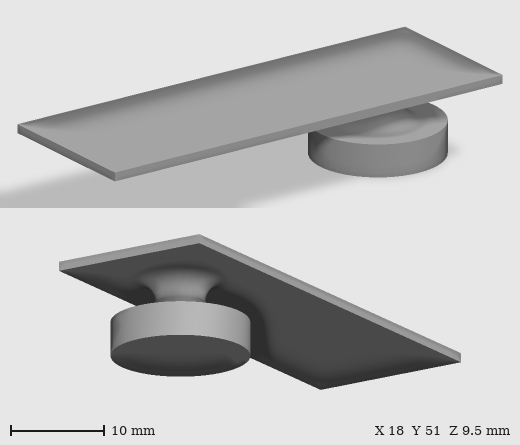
import cadquery as cq

plate_width = 18.0
plate_length = 51.0
plate_thickness = 1.0
total_height = 9.5
disc_diameter = 15.0
disc_height = 3.75
waist_diameter = 5.4
knob_to_plate_end = 10.0

plate_bottom = total_height - plate_thickness
groove_radius = (plate_bottom - disc_height) / 2
waist_radius = waist_diameter / 2
flare_radius = waist_radius + groove_radius
disc_radius = disc_diameter / 2
waist_height = disc_height + groove_radius
knob_y = plate_length / 2 - knob_to_plate_end


def make_plate():
    """Flat rectangular plate on top of the knob."""
    return (
        cq.Workplane("XY")
        .workplane(offset=plate_bottom)
        .rect(plate_width, plate_length)
        .extrude(plate_thickness)
    )


def make_knob():
    """Round foot disc with a concave neck, revolved about its vertical axis."""
    profile = (
        cq.Workplane("XZ")
        .lineTo(disc_radius, 0)
        .lineTo(disc_radius, disc_height)
        .lineTo(flare_radius, disc_height)
        .radiusArc((waist_radius, waist_height), groove_radius)
        .radiusArc((flare_radius, plate_bottom), groove_radius)
        .lineTo(waist_radius, plate_bottom)
        .lineTo(waist_radius, total_height)
        .lineTo(0, total_height)
        .close()
    )
    knob = profile.revolve(360, (0, 0, 0), (0, 1, 0))
    return knob.translate((0, knob_y, 0))


result = make_plate().union(make_knob()).clean()